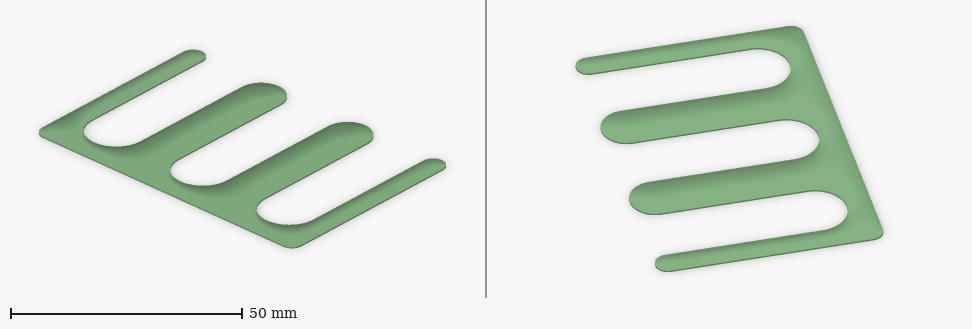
import cadquery as cq

length = 76.2
depth = 50.8
thickness = 0.4

slot_count = 3
inner_finger_width = 11.3
outer_finger_width = inner_finger_width / 2
spine_width = outer_finger_width
pitch = length / slot_count
slot_width = pitch - inner_finger_width
slot_radius = slot_width / 2
corner_radius = outer_finger_width / 2


def rounded_bar(x_center, width, y_bottom):
    """Bar with semicircular ends, reaching from y_bottom to the finger tips."""
    bar_length = depth - y_bottom
    return (
        cq.Workplane("XY")
        .center(x_center, y_bottom + bar_length / 2)
        .slot2D(bar_length, width, 90)
        .extrude(thickness)
    )


def spine():
    """Strip along the front edge, as deep as the centers of the slot ends."""
    spine_depth = spine_width + slot_radius
    return (
        cq.Workplane("XY")
        .rect(length, spine_depth)
        .extrude(thickness)
        .translate((0, spine_depth / 2, 0))
        .edges("|Z and <Y")
        .fillet(corner_radius)
    )


def slot_end(x_center):
    """Round bottom of the slot between two fingers."""
    return (
        cq.Workplane("XY")
        .center(x_center, spine_width + slot_radius)
        .circle(slot_radius)
        .extrude(thickness)
    )


comb = spine()

outer_finger_x = (length - outer_finger_width) / 2
for side in (-1, 1):
    comb = comb.union(rounded_bar(side * outer_finger_x, outer_finger_width, 0))

for index in range(1, slot_count):
    comb = comb.union(rounded_bar(index * pitch - length / 2, inner_finger_width, 0))

for index in range(slot_count):
    comb = comb.cut(slot_end((index + 0.5) * pitch - length / 2))

result = comb.clean().translate((0, -depth / 2, -thickness / 2))